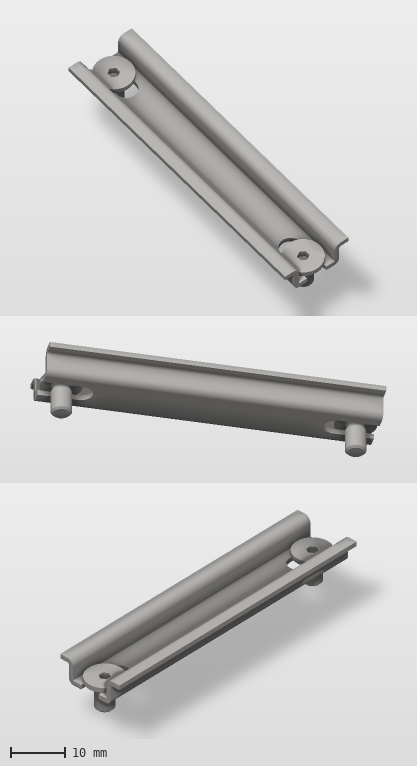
import cadquery as cq

RAIL_LENGTH = 64.0
RAIL_WIDTH = 15.0
RAIL_HEIGHT = 5.5
OVERALL_HEIGHT = 10.5
SHEET = 1.0
CHANNEL_WIDTH = 10.55
TOP_INNER_RADIUS = 0.45
BOTTOM_INNER_RADIUS = 0.2

SLOT_WIDTH = 4.5
SLOT_LENGTH = 10.0

HEAD_DIAMETER = 8.0
HEAD_THICKNESS = 1.1
SHANK_DIAMETER = 4.0
NECK_DIAMETER = 3.25
SCREW_DEPTH = OVERALL_HEIGHT - RAIL_HEIGHT
NECK_LENGTH = 0.6
SHOULDER_LENGTH = 0.8
TIP_CHAMFER = 0.4
HEX_ACROSS_FLATS = 2.05
HEX_DEPTH = 1.4
HEX_CORNERS_PER_FLATS = 2 / 3 ** 0.5

SCREW_X = (RAIL_LENGTH - HEAD_DIAMETER) / 2


def make_rail():
    """Bent strip along X, underside of its floor at Z = 0, slotted at both ends."""
    half_width = RAIL_WIDTH / 2
    wall_outside = CHANNEL_WIDTH / 2
    wall_inside = wall_outside - SHEET
    flange_underside = RAIL_HEIGHT - SHEET
    profile = [
        (-half_width, RAIL_HEIGHT),
        (-wall_inside, RAIL_HEIGHT),
        (-wall_inside, SHEET),
        (wall_inside, SHEET),
        (wall_inside, RAIL_HEIGHT),
        (half_width, RAIL_HEIGHT),
        (half_width, flange_underside),
        (wall_outside, flange_underside),
        (wall_outside, 0),
        (-wall_outside, 0),
        (-wall_outside, flange_underside),
        (-half_width, flange_underside),
    ]
    rail = (
        cq.Workplane("YZ")
        .polyline(profile)
        .close()
        .extrude(RAIL_LENGTH / 2, both=True)
    )
    bends = [
        (wall_inside, RAIL_HEIGHT, TOP_INNER_RADIUS + SHEET),
        (wall_outside, flange_underside, TOP_INNER_RADIUS),
        (wall_inside, SHEET, BOTTOM_INNER_RADIUS),
        (wall_outside, 0, BOTTOM_INNER_RADIUS + SHEET),
    ]
    for y, z, radius in bends:
        for side in (-1, 1):
            corner = cq.selectors.NearestToPointSelector((0, side * y, z))
            rail = rail.edges("|X").edges(corner).fillet(radius)
    slots = (
        cq.Workplane("XY")
        .pushPoints([(-RAIL_LENGTH / 2, 0), (RAIL_LENGTH / 2, 0)])
        .slot2D(2 * SLOT_LENGTH, SLOT_WIDTH)
        .extrude(SHEET)
    )
    return rail.cut(slots)


def make_screw(x):
    """Flat-head screw on the rail floor; its shank tapers to a neck and widens again."""
    head_top = SHEET + HEAD_THICKNESS
    neck_bottom = SHEET - NECK_LENGTH
    tip_radius = SHANK_DIAMETER / 2 - TIP_CHAMFER
    half_section = [
        (0, head_top),
        (HEAD_DIAMETER / 2, head_top),
        (HEAD_DIAMETER / 2, SHEET),
        (SHANK_DIAMETER / 2, SHEET),
        (NECK_DIAMETER / 2, neck_bottom),
        (SHANK_DIAMETER / 2, neck_bottom - SHOULDER_LENGTH),
        (SHANK_DIAMETER / 2, TIP_CHAMFER - SCREW_DEPTH),
        (tip_radius, -SCREW_DEPTH),
        (0, -SCREW_DEPTH),
    ]
    screw = cq.Workplane("XZ").polyline(half_section).close().revolve(360, (0, 0), (0, 1))
    socket = (
        cq.Workplane("XY", origin=(0, 0, head_top))
        .polygon(6, HEX_ACROSS_FLATS * HEX_CORNERS_PER_FLATS)
        .extrude(-HEX_DEPTH)
    )
    return screw.cut(socket).translate((x, 0, 0))


rail = make_rail()
screws = [make_screw(side * SCREW_X) for side in (-1, 1)]

result = cq.Compound.makeCompound([rail.val(), *[screw.val() for screw in screws]])